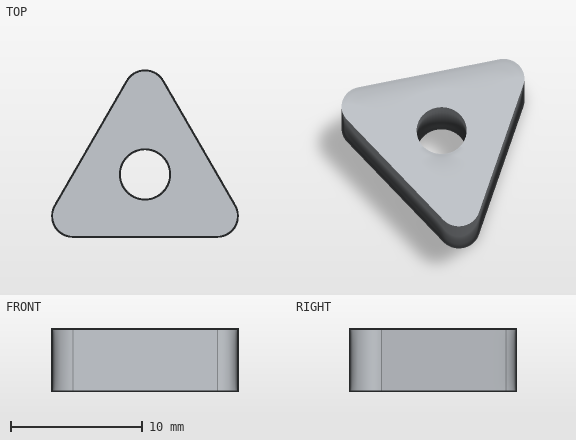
import cadquery as cq
import math

overall_width = 14.16
thickness = 4.76
corner_radius = 1.6
hole_diameter = 3.81

arc_centre_spacing = overall_width - 2 * corner_radius
arc_centre_distance = arc_centre_spacing / math.sqrt(3)

sharp_corner_distance = arc_centre_distance + 2 * corner_radius


def sharp_corner(angle_degrees):
    angle = math.radians(angle_degrees)
    return (sharp_corner_distance * math.cos(angle), sharp_corner_distance * math.sin(angle))


corners = [sharp_corner(angle) for angle in (90, 210, 330)]
body = cq.Workplane("XY").polyline(corners).close().extrude(thickness)
body = body.edges("|Z").fillet(corner_radius)

result = body.faces(">Z").workplane(origin=(0, 0, 0)).hole(hole_diameter)